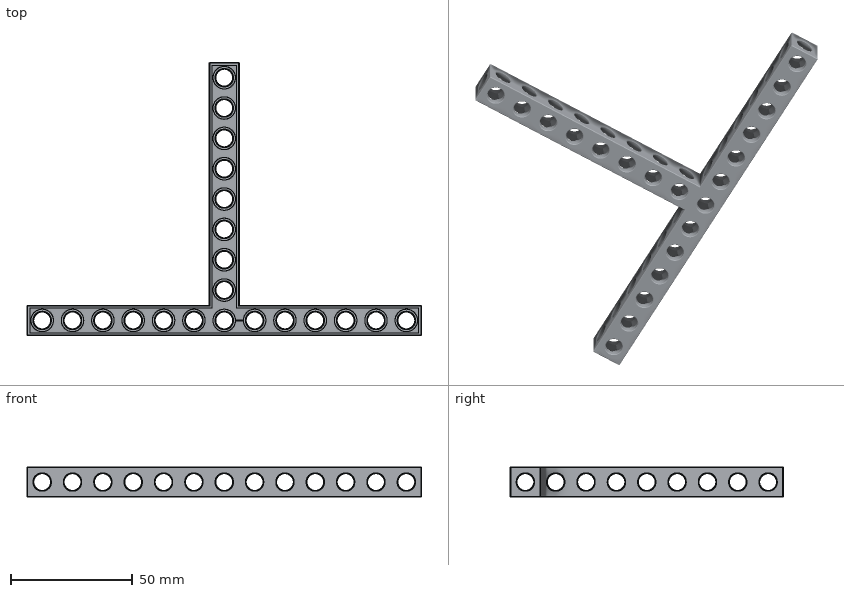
import cadquery as cq
length = 162.5
bar_cells = 13
stem_cells = 8
hole_diameter = 7.0
chamfer = 0.3
collar_diameter = 9.3
rim_width = 1.1
recess_depth = 0.2
web_width = 0.5

pitch = length / bar_cells
half_pitch = pitch / 2
half_length = length / 2
stem_end = half_pitch + stem_cells * pitch
bar_centres = [(i - bar_cells // 2) * pitch for i in range(bar_cells)]
stem_centres = [(i + 1) * pitch for i in range(stem_cells)]
cell_centres = [(x, 0) for x in bar_centres] + [(0, y) for y in stem_centres]


def tee_slab(inset, bottom, top):
    """T-shaped slab between two heights, its outline pulled in by the inset."""
    side = half_pitch - inset
    bar_tip = half_length - inset
    stem_tip = stem_end - inset
    outline = [
        (-bar_tip, -side),
        (bar_tip, -side),
        (bar_tip, side),
        (side, side),
        (side, stem_tip),
        (-side, stem_tip),
        (-side, side),
        (-bar_tip, side),
    ]
    return cq.Workplane("XY", origin=(0, 0, bottom)).polyline(outline).close().extrude(top - bottom)


def hole_cutter(start, direction, depth):
    """Solid of a through hole that is chamfered at both mouths."""
    radius = hole_diameter / 2
    mouth_radius = radius + chamfer
    near = cq.Vector(*start)
    inward = cq.Vector(*direction)
    far = near + inward * depth
    bore = cq.Solid.makeCylinder(radius, depth, near, inward)
    near_mouth = cq.Solid.makeCone(mouth_radius, radius, chamfer, near, inward)
    far_mouth = cq.Solid.makeCone(mouth_radius, radius, chamfer, far, inward * -1)
    return bore.fuse(near_mouth, far_mouth)


def top_recess():
    """Material removed from the top face, leaving the rim, the collars and the web."""
    floor = half_pitch - recess_depth
    collars = (
        cq.Workplane("XY", origin=(0, 0, floor))
        .pushPoints(cell_centres)
        .circle(collar_diameter / 2)
        .extrude(recess_depth)
    )
    web = (
        cq.Workplane("XY", origin=(half_pitch, 0, floor))
        .rect(pitch, web_width)
        .extrude(recess_depth)
    )
    return tee_slab(rim_width, floor, half_pitch).cut(collars).cut(web)


def all_holes():
    """Cutters for the holes along Z, Y and X through every cell."""
    along_x = (1, 0, 0)
    along_y = (0, 1, 0)
    along_z = (0, 0, 1)
    cutters = [hole_cutter((x, y, -half_pitch), along_z, pitch) for x, y in cell_centres]
    for x in bar_centres:
        depth = stem_end + half_pitch if x == 0 else pitch
        cutters.append(hole_cutter((x, -half_pitch, 0), along_y, depth))
    for y in stem_centres:
        cutters.append(hole_cutter((-half_pitch, y, 0), along_x, pitch))
    cutters.append(hole_cutter((-half_length, 0, 0), along_x, length))
    return cutters


body = tee_slab(0, -half_pitch, half_pitch)

body = body.edges("|X or |Y or <X or >X or >Y").chamfer(chamfer)

body = body.cut(top_recess())
for cutter in all_holes():
    body = body.cut(cq.Workplane(cutter))

result = body